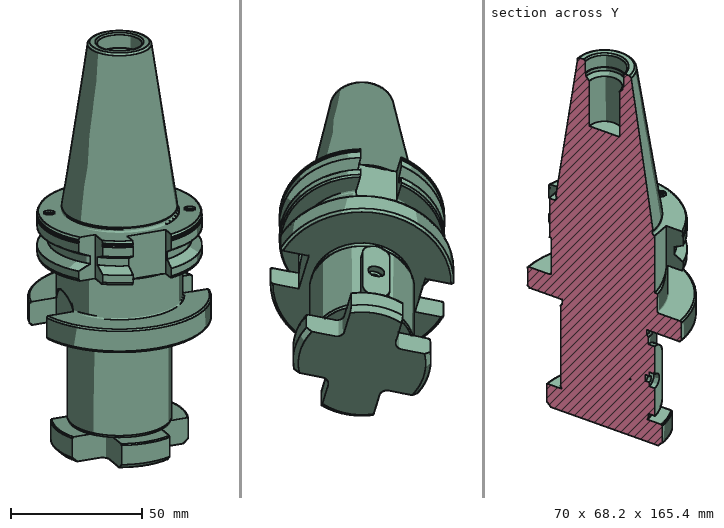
import cadquery as cq
import math

total_height = 165.4
claw_height = 10.5
body_top = 49.3
collar_bottom = 51.3
collar_top = 61.0
flange_bottom = 77.9
flange_top = 96.0
taper_bottom = 97.9

claw_radius = 26.3
body_radius = 20.0
neck_radius = 19.4
collar_diameter = 70.0
collar_radius = collar_diameter / 2
shoulder_radius = 24.1
flange_diameter = 63.0
flange_radius = flange_diameter / 2
taper_large_radius = 22.2
taper_small_radius = 12.2
relief_radius = 21.8

slim_width = 0.5
slim_height = 1.0
collar_top_chamfer = 0.7
collar_bottom_chamfer = 1.0
taper_tip_chamfer = 0.8
taper_rim_chamfer = 0.5
shoulder_fillet = 0.7
relief_fillet = 1.0

groove_radius = 27.6
groove_center = 85.8
groove_floor_width = 3.1
groove_flank_angle = 30.0
mark_groove_center = 94.0
mark_groove_half_width = 0.5
mark_groove_depth = 0.3

notch_width = 16.0
notch_radius = notch_width / 2
notch_floor = 22.8
keyway_floor_right = 25.0
keyway_left_end = 69.8
collar_notch_end = 67.2
corner_notch_offset = 18.5

claw_width = 20.2
claw_root_fillet = 3.0
claw_bottom_chamfer = 2.0
claw_top_chamfer = 0.5

key_width = 10.6
key_length = 32.1
key_center = 29.1
key_face = 22.8
key_root = 16.5
key_screw_head_radius = 3.1
key_screw_head_depth = 2.5
key_screw_hole_radius = 1.3
key_screw_hole_depth = 4.1

entry_radius = 8.6
entry_depth = 6.0
bore_radius = 8.3
entry_chamfer = 0.7
bore_depth = 7.5
cone_depth = 9.1
thread_radius = 6.8
thread_depth = 29.8

screw_x = 9.1
screw_y = 25.3
screw_recess_radius = 2.2
screw_recess_depth = 0.8
socket_width = 2.0
socket_depth = 2.0


def fillet_root(body, radius, height, fillet_radius):
    """Round the inner corner where a cylinder of this radius meets a flat face."""
    margin = 0.2
    reach = radius + margin
    root = cq.selectors.BoxSelector(
        (-reach, -reach, height - margin), (reach, reach, height + margin), boundingbox=True
    )
    return body.edges(root).fillet(fillet_radius)


def turned_body():
    """Body of revolution from the top of the claws to the tip of the taper."""
    flank_run = flange_radius - groove_radius
    groove_half_floor = groove_floor_width / 2
    groove_half_mouth = groove_half_floor + flank_run * math.tan(math.radians(groove_flank_angle))
    profile = [
        (0, claw_height),
        (body_radius - slim_width, claw_height),
        (body_radius, claw_height + slim_height),
        (body_radius, body_top - slim_height),
        (neck_radius, body_top),
        (neck_radius, collar_bottom),
        (collar_radius - collar_bottom_chamfer, collar_bottom),
        (collar_radius, collar_bottom + collar_bottom_chamfer),
        (collar_radius, collar_top - collar_top_chamfer),
        (collar_radius - collar_top_chamfer, collar_top),
        (shoulder_radius, collar_top),
        (shoulder_radius, flange_bottom),
        (flange_radius - slim_width, flange_bottom),
        (flange_radius, flange_bottom + slim_height),
        (flange_radius, groove_center - groove_half_mouth),
        (groove_radius, groove_center - groove_half_floor),
        (groove_radius, groove_center + groove_half_floor),
        (flange_radius, groove_center + groove_half_mouth),
        (flange_radius, mark_groove_center - mark_groove_half_width),
        (flange_radius - mark_groove_depth, mark_groove_center),
        (flange_radius, mark_groove_center + mark_groove_half_width),
        (flange_radius, flange_top - slim_height),
        (flange_radius - slim_width, flange_top),
        (relief_radius, flange_top),
        (relief_radius, taper_bottom - taper_rim_chamfer),
        (taper_large_radius, taper_bottom),
        (taper_small_radius, total_height - taper_tip_chamfer),
        (taper_small_radius - taper_tip_chamfer, total_height),
        (0, total_height),
    ]
    body = cq.Workplane("XZ").polyline(profile).close().revolve(360, (0, 0), (0, 1))
    body = fillet_root(body, shoulder_radius, collar_top, shoulder_fillet)
    body = fillet_root(body, shoulder_radius, flange_bottom, shoulder_fillet)
    return fillet_root(body, relief_radius, flange_top, relief_fillet)


def drive_claws():
    """Cross of four claws with rounded inner corners, cut to a chamfered disc."""
    span = 2 * claw_radius
    cross = (
        cq.Workplane("XY").rect(span, claw_width).extrude(claw_height)
        .union(cq.Workplane("XY").rect(claw_width, span).extrude(claw_height))
    )
    inner_corners = cq.selectors.BoxSelector(
        (-claw_width, -claw_width, 0), (claw_width, claw_width, claw_height)
    )
    cross = cross.edges("|Z").edges(inner_corners).fillet(claw_root_fillet)
    disc = (
        cq.Workplane("XY").circle(claw_radius).extrude(claw_height)
        .faces("<Z").chamfer(claw_bottom_chamfer)
        .faces(">Z").chamfer(claw_top_chamfer)
    )
    return cross.intersect(disc)


def drive_key():
    """Round-ended key standing on the -X side of the body, with its screw hole."""
    def key_plane():
        return cq.Workplane("YZ", origin=(-key_face, 0, key_center))

    key = key_plane().slot2D(key_length, key_width, 90).extrude(key_face - key_root)
    head = key_plane().circle(key_screw_head_radius).extrude(key_screw_head_depth)
    hole = key_plane().circle(key_screw_hole_radius).extrude(key_screw_hole_depth)
    return key, head.union(hole)


def round_ended_notch(plane_name, floor_origin, outward, end_height, open_height):
    """Straight notch from open_height to a half-round end at end_height."""
    toward_open = math.copysign(1, open_height - end_height)
    arc_height = end_height + toward_open * notch_radius
    return (
        cq.Workplane(plane_name, origin=floor_origin)
        .moveTo(-notch_radius, open_height)
        .lineTo(-notch_radius, arc_height)
        .threePointArc((0, end_height), (notch_radius, arc_height))
        .lineTo(notch_radius, open_height)
        .close()
        .extrude(outward * collar_radius)
    )


def flange_keyways():
    """Keyways at -X, round-ended below the flange, and at +X, within the flange."""
    left = round_ended_notch("YZ", (-notch_floor, 0, 0), -1, keyway_left_end, flange_top)
    right = cq.Workplane("XY", origin=(keyway_floor_right, 0, flange_bottom)).box(
        flange_radius, notch_width, flange_top - flange_bottom, centered=(False, True, False)
    )
    return left.union(right)


def collar_notches():
    """Notches through the collar at -Y and +Y that end round in the shoulder."""
    front = round_ended_notch("XZ", (0, -notch_floor, 0), 1, collar_notch_end, collar_bottom)
    return front.union(front.mirror("XZ"))


def corner_notch():
    """Square notch through the flange in its +X, -Y quarter."""
    corner = (corner_notch_offset, -corner_notch_offset - flange_radius, flange_bottom)
    return cq.Workplane("XY", origin=corner).box(
        flange_radius, flange_radius, flange_top - flange_bottom, centered=False
    )


def taper_bore():
    """Chamfered entry, pilot bore, cone and threaded hole down from the taper tip."""
    profile = [
        (0, total_height),
        (entry_radius + entry_chamfer, total_height),
        (entry_radius, total_height - entry_chamfer),
        (entry_radius, total_height - entry_depth),
        (bore_radius, total_height - entry_depth),
        (bore_radius, total_height - bore_depth),
        (thread_radius, total_height - cone_depth),
        (thread_radius, total_height - thread_depth),
        (0, total_height - thread_depth),
    ]
    return cq.Workplane("XZ").polyline(profile).close().revolve(360, (0, 0), (0, 1))


def set_screws():
    """Recesses with hexagon sockets for the two set screws in the flange top."""
    top = cq.Workplane("XY", origin=(0, 0, flange_top))
    places = [(screw_x, screw_y), (-screw_x, -screw_y)]
    recesses = top.pushPoints(places).circle(screw_recess_radius).extrude(-screw_recess_depth)
    socket_diameter = socket_width / math.cos(math.pi / 6)
    sockets = top.pushPoints(places).polygon(6, socket_diameter).extrude(-screw_recess_depth - socket_depth)
    return recesses.union(sockets)


key, key_screw_hole = drive_key()

result = turned_body()
for cutter in (flange_keyways(), collar_notches(), corner_notch(), taper_bore(), set_screws()):
    result = result.cut(cutter)
result = result.union(drive_claws()).union(key).cut(key_screw_hole)